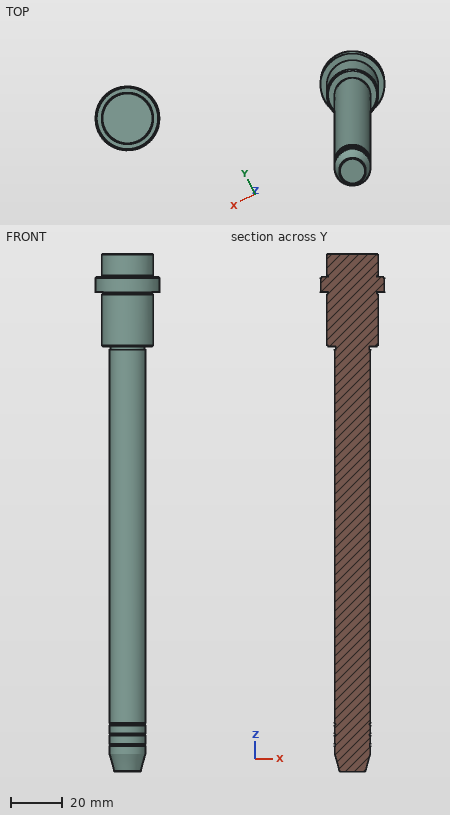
import cadquery as cq

total_length = 201.0
head_height = 8.8
flange_thickness = 6.0
body_length = 21.1

head_radius = 10.0
flange_radius = 12.5
shaft_radius = 7.0

head_chamfer = 0.5
flange_chamfer = 0.6
body_chamfer = 0.6
relief_depth = 0.6
relief_height = 1.0
neck_radius = 6.6
neck_height = 1.2

groove_count = 3
groove_pitch = 4.0
groove_width = 1.0
groove_depth = 0.5
lowest_groove_height = 10.5

taper_height = 7.0
tip_radius = 5.2
tip_chamfer = 0.5
flank_hollow = 0.08

flange_top = total_length - head_height
flange_bottom = flange_top - flange_thickness
body_bottom = flange_bottom - body_length
relief_radius = head_radius - relief_depth


def revolve_around_z(profile):
    """Turn a closed radius-height profile around the Z axis."""
    return profile.revolve(360, (0, 0, 0), (0, 1, 0))


def make_pin():
    """Head, flange, body, shaft and tip as one turned solid."""
    flank_middle_radius = (tip_radius + shaft_radius) / 2 - flank_hollow
    flank_middle_height = (tip_chamfer + taper_height) / 2
    profile = (
        cq.Workplane("XZ")
        .lineTo(tip_radius - tip_chamfer, 0)
        .lineTo(tip_radius, tip_chamfer)
        .threePointArc((flank_middle_radius, flank_middle_height), (shaft_radius, taper_height))
        .lineTo(shaft_radius, body_bottom - neck_height)
        .lineTo(neck_radius, body_bottom - neck_height)
        .lineTo(neck_radius, body_bottom)
        .lineTo(head_radius - body_chamfer, body_bottom)
        .lineTo(head_radius, body_bottom + body_chamfer)
        .lineTo(head_radius, flange_bottom - relief_height)
        .lineTo(relief_radius, flange_bottom - relief_height + relief_depth)
        .lineTo(relief_radius, flange_bottom)
        .lineTo(flange_radius, flange_bottom)
        .lineTo(flange_radius, flange_top - flange_chamfer)
        .lineTo(flange_radius - flange_chamfer, flange_top)
        .lineTo(relief_radius, flange_top)
        .lineTo(head_radius, flange_top + relief_depth)
        .lineTo(head_radius, total_length - head_chamfer)
        .lineTo(head_radius - head_chamfer, total_length)
        .lineTo(0, total_length)
        .close()
    )
    return revolve_around_z(profile)


def make_groove(height):
    """Ring with a V-shaped section, centred on the given height."""
    profile = (
        cq.Workplane("XZ")
        .moveTo(shaft_radius, height - groove_width / 2)
        .lineTo(shaft_radius - groove_depth, height)
        .lineTo(shaft_radius, height + groove_width / 2)
        .close()
    )
    return revolve_around_z(profile)


result = make_pin()
for index in range(groove_count):
    result = result.cut(make_groove(lowest_groove_height + index * groove_pitch))